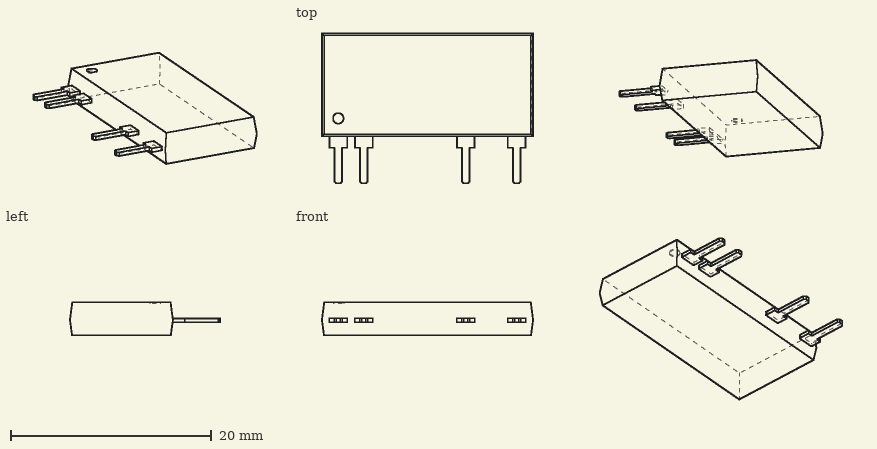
import cadquery as cq

HOUSING_LENGTH = 21.08
HOUSING_DEPTH = 10.29
HOUSING_HEIGHT = 3.3
PARTING_HEIGHT = 1.54
TOP_INSET = 0.23
BOTTOM_INSET = 0.21

PIN_SPAN = 17.8
PITCHES_IN_SPAN = 7
PIN_SLOTS = (0, 1, 5, 7)
PIN_BASE_HEIGHT = 1.3
PIN_THICKNESS = 0.4
PIN_REACH = 4.7
SHOULDER_WIDTH = 1.8
SHOULDER_REACH = 1.15
LEG_WIDTH = 0.78
TIP_CHAMFER = 0.2

MARK_DIAMETER = 1.05
MARK_THICKNESS = 0.1
MARK_SETBACK = 1.8

FRONT_Y = -HOUSING_DEPTH / 2
PIN_PITCH = PIN_SPAN / PITCHES_IN_SPAN
FIRST_PIN_X = -PIN_SPAN / 2


def make_housing_half(height, inset):
    """Loft from the parting plane to a smaller end face; negative height goes down."""
    return (
        cq.Workplane("XY", origin=(0, 0, PARTING_HEIGHT))
        .rect(HOUSING_LENGTH, HOUSING_DEPTH)
        .workplane(offset=height)
        .rect(HOUSING_LENGTH - 2 * inset, HOUSING_DEPTH - 2 * inset)
        .loft(ruled=True)
    )


def make_housing_block():
    upper_half = make_housing_half(HOUSING_HEIGHT - PARTING_HEIGHT, TOP_INSET)
    lower_half = make_housing_half(-PARTING_HEIGHT, BOTTOM_INSET)
    return upper_half.union(lower_half)


def make_mark():
    mark_bottom = HOUSING_HEIGHT - MARK_THICKNESS
    return (
        cq.Workplane("XY", origin=(FIRST_PIN_X, FRONT_Y + MARK_SETBACK, mark_bottom))
        .circle(MARK_DIAMETER / 2)
        .extrude(MARK_THICKNESS)
    )


def make_pin(center_x, housing_block):
    """Shoulder and leg in one flat piece, its inner end shaped to the housing's sloped front."""
    inner_end_y = FRONT_Y + BOTTOM_INSET
    shoulder_end_y = FRONT_Y - SHOULDER_REACH
    tip_y = FRONT_Y - PIN_REACH
    shoulder = (
        cq.Workplane("XY", origin=(center_x, 0, PIN_BASE_HEIGHT))
        .center(0, (inner_end_y + shoulder_end_y) / 2)
        .rect(SHOULDER_WIDTH, inner_end_y - shoulder_end_y)
        .extrude(PIN_THICKNESS)
    )
    leg = (
        cq.Workplane("XY", origin=(center_x, 0, PIN_BASE_HEIGHT))
        .center(0, (shoulder_end_y + tip_y) / 2)
        .rect(LEG_WIDTH, shoulder_end_y - tip_y)
        .extrude(PIN_THICKNESS)
        .edges("|Z and <Y")
        .chamfer(TIP_CHAMFER)
    )
    return shoulder.union(leg).cut(housing_block)


housing_block = make_housing_block()
mark = make_mark()
housing = housing_block.cut(mark)
pins = [make_pin(FIRST_PIN_X + slot * PIN_PITCH, housing_block) for slot in PIN_SLOTS]

result = cq.Compound.makeCompound(
    [housing.solids().val(), mark.val(), *[pin.solids().val() for pin in pins]]
)